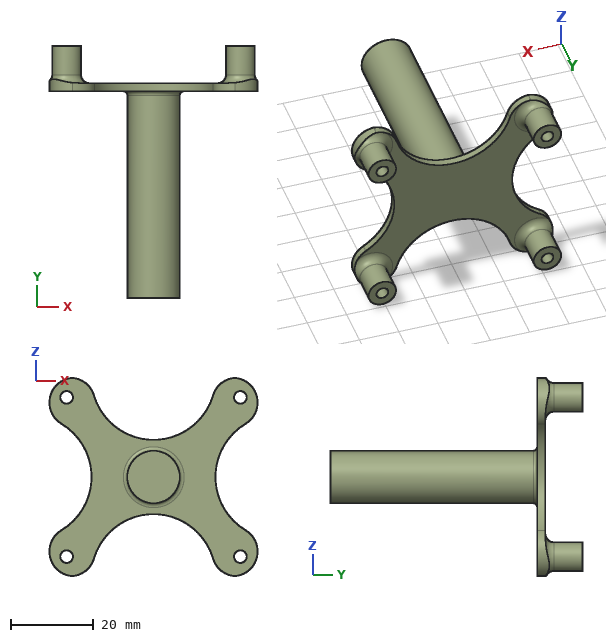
import cadquery as cq
import math

plate_thickness = 2.0
scallop_radius = 15.0
side_scallop_x = 30.0
end_scallop_z = 24.0
lobe_radius = 6.0
lobe_center_z = 18.0

post_diameter = 12.7
post_length = 50.0
post_fillet = 1.0

standoff_x = 21.0
standoff_z = 19.25
standoff_radius = 3.5
standoff_height = 9.0
standoff_fillet = 2.0
hole_diameter = 3.0

tangent_distance = scallop_radius + lobe_radius
inner_center_x = math.sqrt(tangent_distance**2 - (end_scallop_z - lobe_center_z) ** 2)
outer_center_x = side_scallop_x - math.sqrt(tangent_distance**2 - lobe_center_z**2)
tip_x = (inner_center_x + outer_center_x) / 2
tip_z = lobe_center_z + math.sqrt(lobe_radius**2 - (inner_center_x - tip_x) ** 2)

tangent_share = scallop_radius / tangent_distance
end_tangent_x = inner_center_x * tangent_share
end_tangent_z = end_scallop_z + (lobe_center_z - end_scallop_z) * tangent_share
side_tangent_x = side_scallop_x + (outer_center_x - side_scallop_x) * tangent_share
side_tangent_z = lobe_center_z * tangent_share

end_valley_z = end_scallop_z - scallop_radius
side_valley_x = side_scallop_x - scallop_radius

inner_middle_angle = 135
outer_middle_angle = 0

quadrants = [(1, 1), (1, -1), (-1, -1), (-1, 1)]


def point_on_lobe(center_x, angle_degrees):
    """Point on an arm-end arc at the given angle from +X."""
    angle = math.radians(angle_degrees)
    return (
        center_x + lobe_radius * math.cos(angle),
        lobe_center_z + lobe_radius * math.sin(angle),
    )


def plate_prism(height):
    """Four-armed plate outline extruded from Y = 0 toward +Y."""
    end_tangent = (end_tangent_x, end_tangent_z)
    side_tangent = (side_tangent_x, side_tangent_z)
    end_valley = (0, end_valley_z)
    side_valley = (side_valley_x, 0)
    inner_middle = point_on_lobe(inner_center_x, inner_middle_angle)
    outer_middle = point_on_lobe(outer_center_x, outer_middle_angle)
    tip = (tip_x, tip_z)

    end_to_side = [(end_valley, end_tangent), (inner_middle, tip), (outer_middle, side_tangent)]
    side_to_end = [(side_valley, side_tangent), (outer_middle, tip), (inner_middle, end_tangent)]

    outline = cq.Workplane("XZ").moveTo(-end_tangent_x, end_tangent_z)
    for sx, sz in quadrants:
        arcs = end_to_side if sx == sz else side_to_end
        for middle, end in arcs:
            outline = outline.threePointArc(
                (sx * middle[0], sz * middle[1]),
                (sx * end[0], sz * end[1]),
            )
    return outline.close().extrude(-height)


def flared_cylinder(radius, height, flare):
    """Cylinder along +Z whose base widens in a concave fillet."""
    bend = flare * (1 - math.sqrt(0.5))
    return (
        cq.Workplane("XZ")
        .moveTo(0, 0)
        .lineTo(radius + flare, 0)
        .threePointArc((radius + bend, bend), (radius, flare))
        .lineTo(radius, height)
        .lineTo(0, height)
        .close()
        .revolve(360, (0, 0), (0, 1))
    )


def post():
    """Central post, standing on the front face and pointing toward -Y."""
    upright = flared_cylinder(post_diameter / 2, post_length, post_fillet)
    return upright.rotate((0, 0, 0), (1, 0, 0), 90)


def standoffs():
    """Four standoffs on the back face, their flared bases trimmed to the plate outline."""
    upright = flared_cylinder(standoff_radius, standoff_height, standoff_fillet)
    standoff = upright.rotate((0, 0, 0), (1, 0, 0), -90)
    group = cq.Workplane("XZ")
    for sx, sz in quadrants:
        group = group.add(standoff.translate((sx * standoff_x, plate_thickness, sz * standoff_z)))
    return group.combine().intersect(plate_prism(plate_thickness + standoff_height))


def screw_holes():
    """Holes running through the plate and the full height of the standoffs."""
    centers = [(sx * standoff_x, sz * standoff_z) for sx, sz in quadrants]
    depth = plate_thickness + standoff_height
    return cq.Workplane("XZ").pushPoints(centers).circle(hole_diameter / 2).extrude(-depth)


result = plate_prism(plate_thickness).union(standoffs()).union(post()).cut(screw_holes())